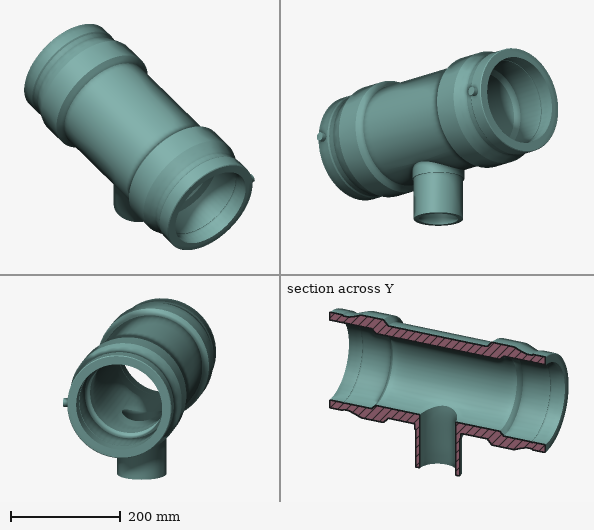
import cadquery as cq

length = 440.0
half_length = length / 2
body_diameter = 187.0
bulge_diameter = 208.0
neck_diameter = 189.5
rim_diameter = 193.5
rim_chamfer = 1.5

rim_end = 25.5
neck_start = 28.0
neck_end = 39.0
bulge_start = 64.5
bulge_end = 109.5
body_start = 119.2

socket_diameter = 160.0
bore_diameter = 144.0
socket_depth = 85.5
bore_start = 93.5
groove_start = 27.5
groove_end = 30.0
groove_diameter = 162.0

branch_diameter = 90.0
branch_collar_diameter = 94.5
branch_bore_diameter = 72.0
branch_length = 75.5
branch_collar_bottom = -bulge_diameter / 2
branch_bottom = branch_collar_bottom - branch_length

pin_diameter = 16.0
overall_width = 210.0
pin_inset = 14.5
pin_tip = overall_width - bulge_diameter / 2
pin_root = (socket_diameter + rim_diameter) / 4


def revolve_run(left_stations):
    """Revolve (distance from end, diameter) stations, mirrored about the middle, around X."""
    left = [(inset - half_length, diameter / 2) for inset, diameter in left_stations]
    right = [(-x, radius) for x, radius in reversed(left)]
    outline = [(-half_length, 0)] + left + right + [(half_length, 0)]
    return cq.Workplane("XY").polyline(outline).close().revolve(360, (0, 0, 0), (1, 0, 0))


def cylinder_down(diameter, bottom):
    """Vertical cylinder from the run axis down to the given height."""
    return cq.Workplane("XY").circle(diameter / 2).extrude(bottom)


def terminal_pin(x):
    """Pin standing on the rim, rooted inside the socket wall."""
    return (
        cq.Workplane("XZ", origin=(x, pin_root, 0))
        .circle(pin_diameter / 2)
        .extrude(pin_root - pin_tip)
    )


outer_run = revolve_run([
    (0, rim_diameter - 2 * rim_chamfer),
    (rim_chamfer, rim_diameter),
    (rim_end, rim_diameter),
    (neck_start, neck_diameter),
    (neck_end, neck_diameter),
    (bulge_start, bulge_diameter),
    (bulge_end, bulge_diameter),
    (body_start, body_diameter),
])
run_bore = revolve_run([
    (0, socket_diameter),
    (groove_start, socket_diameter),
    (groove_start, groove_diameter),
    (groove_end, groove_diameter),
    (groove_end, socket_diameter),
    (socket_depth, socket_diameter),
    (bore_start, bore_diameter),
])

branch = cylinder_down(branch_diameter, branch_bottom)
branch_collar = cylinder_down(branch_collar_diameter, branch_collar_bottom)
branch_bore = cylinder_down(branch_bore_diameter, branch_bottom)

result = outer_run.union(branch_collar).union(branch)
result = result.cut(run_bore).cut(branch_bore)

for side in (-1, 1):
    result = result.union(terminal_pin(side * (half_length - pin_inset)))